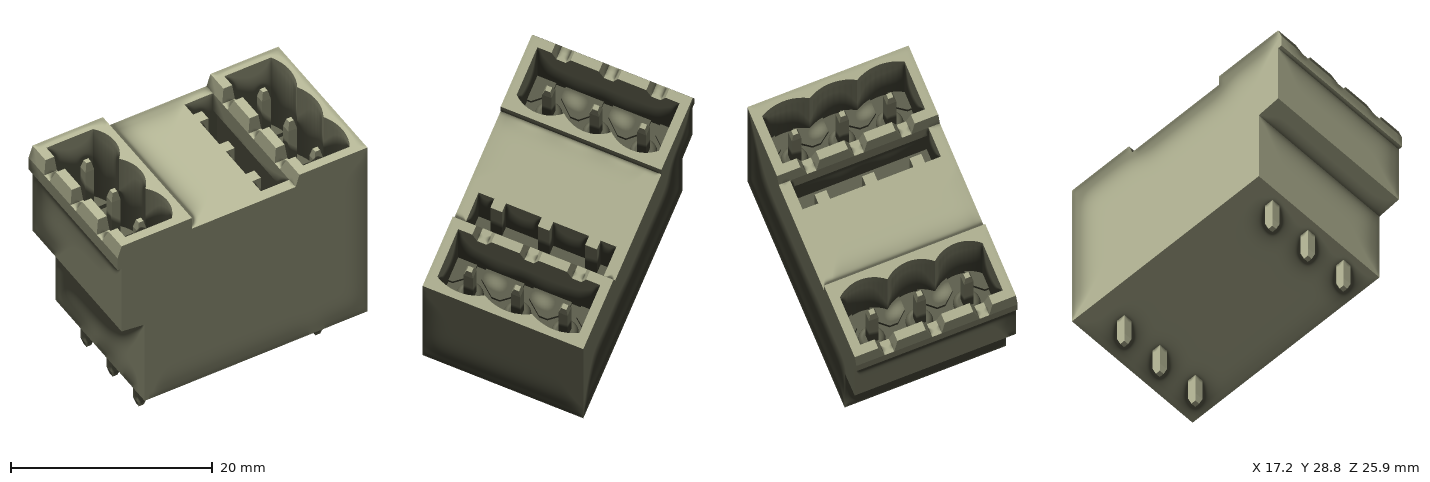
import cadquery as cq


pitch = 5.08
pole_count = 3
pole_xs = [pitch * (i - (pole_count - 1) / 2) for i in range(pole_count)]

housing_width = 17.24
housing_depth = 28.8
housing_height = 22.0

slope_height = 1.42
slope_run = 0.45
lip_depth = 0.45
deck_z = housing_height - slope_height
front_lip_bottom_z = 19.0
rear_lip_height = 2.25
rear_lip_bottom_z = deck_z - rear_lip_height

base_front_y = 3.11
overhang_corner_z = 10.24
overhang_edge_z = 10.57

deck_front_y = 8.57
rear_lip_y = 20.52

cavity_width = pole_count * pitch
cavity_depth = 9.0
cavity_floor_z = housing_height - cavity_depth
wall_thickness = 1.46

channel_depth = 0.5
channel_width = 1.0
channel_back_width = 1.88
channel_floor_z = cavity_floor_z - channel_depth

notch_top_width = 2.05
notch_bottom_width = 1.0

pocket_width = 14.78
pocket_front_y = 17.25
pocket_depth = cavity_depth - slope_height
tab_width = 1.25
tab_length = 1.0

boss_diameter = 2.75
boss_top_diameter = 1.7
boss_fillet = (boss_diameter - boss_top_diameter) / 2

pin_width = 1.0
pin_tip_width = 0.55
pin_top_z = 20.76
pin_bottom_z = -3.9
pin_top_taper = 1.0
pin_bottom_taper = 0.8

front_row = dict(lip_y=0.0, pin_y=4.66, arc_end_y=6.82, crown_y=7.8,
                 flare_x=2.1, flare_back=1.55, flare_front=1.95)
rear_row = dict(lip_y=rear_lip_y, pin_y=25.02, arc_end_y=27.36, crown_y=28.03,
                flare_x=2.1, flare_back=1.35, flare_front=1.8)
rows = [front_row, rear_row]


def box(x_size, y_start, y_end, z_start, z_end, x_center=0.0):
    """Box centred on x_center and spanning the given Y and Z ranges."""
    return (cq.Workplane("XY", origin=(x_center, (y_start + y_end) / 2, z_start))
            .rect(x_size, y_end - y_start)
            .extrude(z_end - z_start))


def housing_block():
    """Side profile of the housing, extruded over its full width."""
    profile = [
        (base_front_y, 0),
        (housing_depth, 0),
        (housing_depth, housing_height),
        (rear_lip_y + slope_run, housing_height),
        (rear_lip_y, deck_z),
        (deck_front_y, deck_z),
        (deck_front_y, housing_height),
        (slope_run, housing_height),
        (0, deck_z),
        (0, front_lip_bottom_z),
        (lip_depth, front_lip_bottom_z),
        (lip_depth, overhang_edge_z),
        (base_front_y, overhang_corner_z),
    ]
    return cq.Workplane("YZ").polyline(profile).close().extrude(housing_width / 2, both=True)


def cavity_prism(row, floor_z):
    """Plug cavity of one row: straight front and sides, one arc per pole at the back."""
    front_y = row["lip_y"] + wall_thickness
    outline = (cq.Workplane("XY", origin=(0, 0, floor_z))
               .moveTo(cavity_width / 2, front_y)
               .lineTo(-cavity_width / 2, front_y)
               .lineTo(-cavity_width / 2, row["arc_end_y"]))
    for x in pole_xs:
        outline = outline.threePointArc((x, row["crown_y"]), (x + pitch / 2, row["arc_end_y"]))
    return outline.close().extrude(housing_height - floor_z)


def floor_channels(row):
    """Channels in the cavity floor: one along the row and one across it at each pin."""
    half = channel_width / 2
    back_half = channel_back_width / 2
    pin_y = row["pin_y"]
    front_y = row["lip_y"] + wall_thickness
    channels = box(cavity_width, pin_y - half, pin_y + half, channel_floor_z, cavity_floor_z)
    right_side = [
        (half, front_y - pin_y),
        (half, -row["flare_front"]),
        (row["flare_x"], -half),
        (row["flare_x"], half),
        (back_half, row["flare_back"]),
        (back_half, row["crown_y"] - pin_y),
    ]
    left_side = [(-x, y) for x, y in reversed(right_side)]
    for x in pole_xs:
        cross_channel = (cq.Workplane("XY", origin=(x, pin_y, channel_floor_z))
                         .polyline(right_side + left_side).close()
                         .extrude(channel_depth))
        channels = channels.union(cross_channel)
    return channels.intersect(cavity_prism(row, channel_floor_z))


def wall_notch(x, row):
    """Tapered notch through the front wall of a cavity, down to deck level."""
    section = [
        (x - notch_bottom_width / 2, deck_z),
        (x + notch_bottom_width / 2, deck_z),
        (x + notch_top_width / 2, housing_height),
        (x - notch_top_width / 2, housing_height),
    ]
    return (cq.Workplane("XZ", origin=(0, row["lip_y"], 0))
            .polyline(section).close()
            .extrude(-wall_thickness))


def pin_boss(x, row):
    """Round boss with a rounded rim, standing on the channel floor."""
    return (cq.Workplane("XZ", origin=(x, row["pin_y"], channel_floor_z))
            .lineTo(boss_diameter / 2, 0)
            .radiusArc((boss_top_diameter / 2, boss_fillet), -boss_fillet)
            .lineTo(0, boss_fillet)
            .close()
            .revolve(360, (0, 0, 0), (0, 1, 0)))


def latch_pocket():
    """Pocket in the deck with tabs on its front wall, undercutting the rear row's lip."""
    floor_z = deck_z - pocket_depth
    tab_end_y = pocket_front_y + tab_length
    pocket = box(pocket_width, pocket_front_y, rear_lip_y, floor_z, deck_z)
    for x in pole_xs:
        tab = box(tab_width, pocket_front_y, tab_end_y, floor_z, deck_z, x)
        pocket = pocket.cut(tab)
    undercut = box(pocket_width, rear_lip_y, rear_lip_y + lip_depth, floor_z, rear_lip_bottom_z)
    return pocket.union(undercut)


def make_pin(x, row):
    """Square pin, tapered at both ends."""
    shank_top_z = pin_top_z - pin_top_taper
    shank_bottom_z = pin_bottom_z + pin_bottom_taper
    y = row["pin_y"]
    shank = (cq.Workplane("XY", origin=(x, y, shank_bottom_z))
             .rect(pin_width, pin_width)
             .extrude(shank_top_z - shank_bottom_z))
    top_tip = (cq.Workplane("XY", origin=(x, y, shank_top_z))
               .rect(pin_width, pin_width)
               .workplane(offset=pin_top_taper)
               .rect(pin_tip_width, pin_tip_width)
               .loft(ruled=True))
    bottom_tip = (cq.Workplane("XY", origin=(x, y, shank_bottom_z))
                  .rect(pin_width, pin_width)
                  .workplane(offset=-pin_bottom_taper)
                  .rect(pin_tip_width, pin_tip_width)
                  .loft(ruled=True))
    return shank.union(top_tip).union(bottom_tip)


def make_housing():
    """Housing with cavities, notches, pocket, bosses and a square hole for each pin."""
    body = housing_block().cut(latch_pocket())
    hole_top_z = cavity_floor_z + boss_fillet
    for row in rows:
        body = body.cut(cavity_prism(row, cavity_floor_z)).cut(floor_channels(row))
        pin_front_y = row["pin_y"] - pin_width / 2
        pin_back_y = row["pin_y"] + pin_width / 2
        for x in pole_xs:
            body = body.cut(wall_notch(x, row))
            body = body.union(pin_boss(x, row))
            body = body.cut(box(pin_width, pin_front_y, pin_back_y, 0, hole_top_z, x))
    return body


housing = make_housing()
pins = [make_pin(x, row) for row in rows for x in pole_xs]

result = cq.Compound.makeCompound([housing.val(), *[pin.val() for pin in pins]])